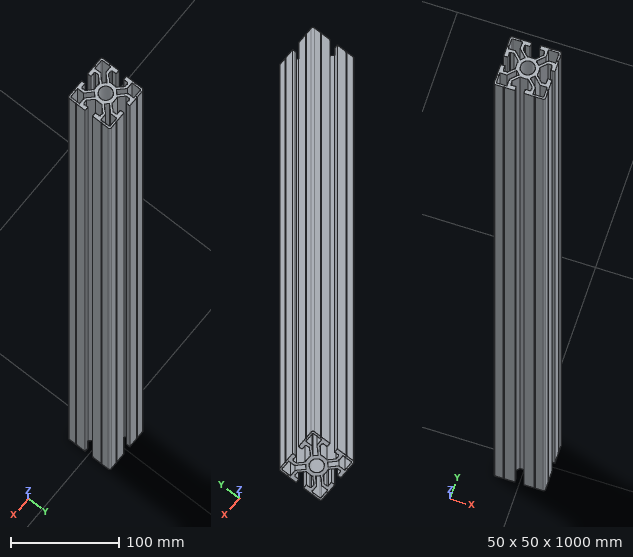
import cadquery as cq

SIDE = 50.0
LENGTH = 1000.0
HALF = SIDE / 2
CORNER_RADIUS = 2.0

SLOT_HALF_WIDTH = 4.35
LIP_THICKNESS = 4.2
LIP_BEVEL_DEPTH = 1.9
LIP_BEVEL_WIDTH = 0.15
CAVITY_HALF_WIDTH = 9.7
CAVITY_CHAMFER = 0.8
FLOOR_DISTANCE = 10.85
FLOOR_CROWN = 0.23
WEB_OUTER_OFFSET = 6.75

GROOVE_CENTRE = 15.0
GROOVE_WIDTH = 1.2
GROOVE_DEPTH = 0.9

HOLLOW_OUTER = 23.0
HOLLOW_INNER = 12.65
HOLLOW_RADIUS = 1.0
CHANNEL_OFFSET = 3.4
CHANNEL_END = 14.45

CORE_HOLE_RADIUS = 6.95

QUARTER_TURNS = (0, 90, 180, 270)


def bar_blank():
    """Full-length square bar with rounded corners and the round hole along its axis."""
    blank = cq.Workplane("XY").rect(SIDE, SIDE).extrude(LENGTH)
    blank = blank.edges("|Z").fillet(CORNER_RADIUS)
    return blank.cut(cq.Workplane("XY").circle(CORE_HOLE_RADIUS).extrude(LENGTH))


def slot_cutter():
    """T-slot opening towards +X, with a bowed floor."""
    lip_back = HALF - LIP_THICKNESS
    floor_edge = FLOOR_DISTANCE - FLOOR_CROWN
    upper_side = [
        (floor_edge, floor_edge - WEB_OUTER_OFFSET),
        (CAVITY_HALF_WIDTH + WEB_OUTER_OFFSET, CAVITY_HALF_WIDTH),
        (lip_back - CAVITY_CHAMFER, CAVITY_HALF_WIDTH),
        (lip_back, CAVITY_HALF_WIDTH - CAVITY_CHAMFER),
        (lip_back, SLOT_HALF_WIDTH + LIP_BEVEL_WIDTH),
        (lip_back + LIP_BEVEL_DEPTH, SLOT_HALF_WIDTH),
        (HALF, SLOT_HALF_WIDTH),
    ]
    lower_side = [(x, -y) for x, y in reversed(upper_side)]
    outline = cq.Workplane("XY").polyline(lower_side)
    outline = outline.threePointArc((FLOOR_DISTANCE, 0), upper_side[0])
    for point in upper_side[1:]:
        outline = outline.lineTo(*point)
    return outline.close().extrude(LENGTH)


def groove_cutter(centre):
    """V-groove along the +X face at the given Y."""
    outline = [
        (HALF, centre - GROOVE_WIDTH / 2),
        (HALF - GROOVE_DEPTH, centre),
        (HALF, centre + GROOVE_WIDTH / 2),
    ]
    return cq.Workplane("XY").polyline(outline).close().extrude(LENGTH)


def hollow_cutter():
    """Corner hollow and its diagonal channel in the +X +Y quadrant."""
    channel_near = (CHANNEL_END - CHANNEL_OFFSET) / 2
    channel_far = (CHANNEL_END + CHANNEL_OFFSET) / 2
    shoulder = HOLLOW_INNER + CHANNEL_OFFSET
    outline = [
        (channel_far, channel_near),
        (shoulder, HOLLOW_INNER),
        (HOLLOW_OUTER, HOLLOW_INNER),
        (HOLLOW_OUTER, HOLLOW_OUTER),
        (HOLLOW_INNER, HOLLOW_OUTER),
        (HOLLOW_INNER, shoulder),
        (channel_near, channel_far),
    ]
    hollow = cq.Workplane("XY").polyline(outline).close().extrude(LENGTH)
    outer_corner = cq.selectors.NearestToPointSelector((HOLLOW_OUTER, HOLLOW_OUTER, LENGTH / 2))
    return hollow.edges(outer_corner).fillet(HOLLOW_RADIUS)


def build_bar():
    """Cut the same slot, grooves and corner hollow at every quarter turn."""
    bar = bar_blank()
    cutters = [
        slot_cutter(),
        groove_cutter(GROOVE_CENTRE),
        groove_cutter(-GROOVE_CENTRE),
        hollow_cutter(),
    ]
    for angle in QUARTER_TURNS:
        for cutter in cutters:
            bar = bar.cut(cutter.rotate((0, 0, 0), (0, 0, 1), angle))
    return bar


result = build_bar()